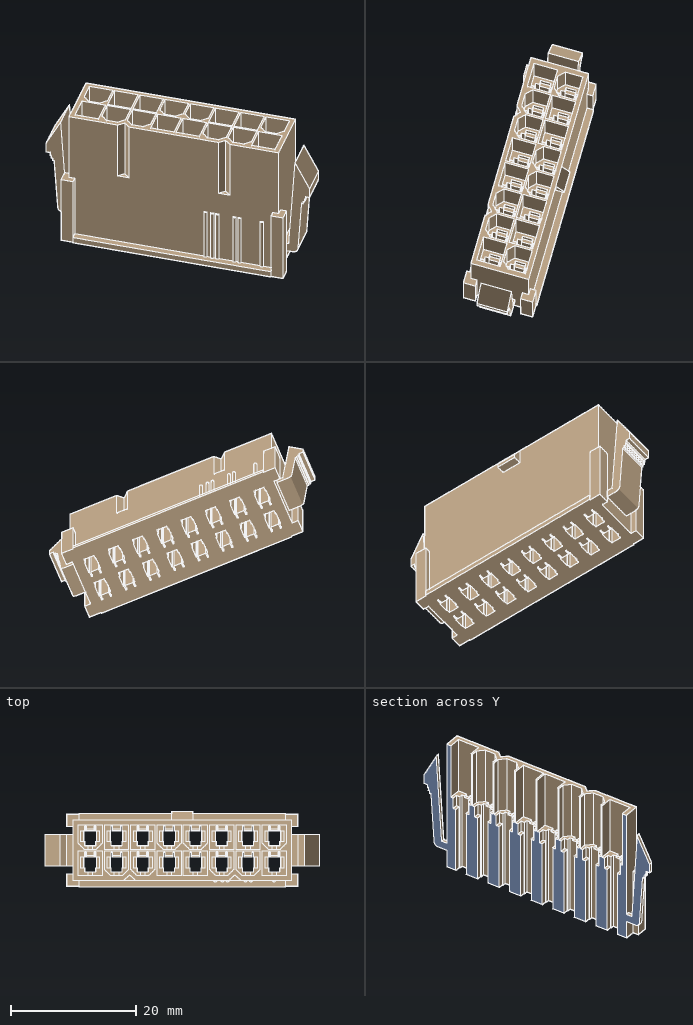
import cadquery as cq

PITCH = 4.2
COLUMNS = 8
ROWS = 2
CELL_SIZE = 3.9
KEY_CHAMFER = 1.0
CAVITY_DEPTH = 10.0
KEYED_COLUMNS = ((1, 2, 5, 6), (0, 3, 4, 7))

OPENING_WIDTH = 1.98
OPENING_BACK = 0.99
OPENING_FRONT = -0.73
NARROW_WIDTH = 1.72
NARROW_FRONT = -1.35
LATCH_SLOT_BACK = 1.75
SHOULDER_WIDTH = 3.04
SHOULDER_DEPTH = 2.0
TONGUE_WIDTH = 1.32
TONGUE_LIP_BACK = 1.26
TONGUE_LIP_DROP = 0.5
NOTCH_WIDTH = 0.73
NOTCH_DEPTH = 0.3
NOTCH_RAMP_DROP = 0.07

HEIGHT = 23.9
END_WALL = 0.8
SIDE_WALL = 0.75
BODY_WIDTH = (COLUMNS - 1) * PITCH + CELL_SIZE + 2 * END_WALL
BODY_DEPTH = (ROWS - 1) * PITCH + CELL_SIZE + 2 * SIDE_WALL
POST_HEIGHT = 11.95
POST_ARM = 2.0
POST_SPAN_X = 36.95
POST_SPAN_Y = 11.53
FLANGE_DEPTH = 11.8
FLANGE_HEIGHT = 1.05

RAMP_WIDTH = 3.36
RAMP_REACH = 1.4
RAMP_BOTTOM = 20.9
RAMP_NOSE_TOP = 21.65

GROOVE_HALF_WIDTH = 0.94
GROOVE_DEPTH = 0.85
GROOVE_POSITIONS = (-2 * PITCH, 2 * PITCH)
RIB_RADIUS = 0.26
RIB_TOP = 9.8
RIB_POSITIONS = (5.27, 6.4, 7.25, 10.1, 10.95, 14.65)

LATCH_SPAN = 43.9
LATCH_WIDTH = 5.05
LATCH_FOOT_BOTTOM = 3.17
LATCH_FOOT_TOP = 4.65
LATCH_FOOT_RADIUS = 0.85
LATCH_EMBED = 0.2

FRONT = -BODY_DEPTH / 2
BACK = BODY_DEPTH / 2
FLOOR = HEIGHT - CAVITY_DEPTH


def block(x_range, y_range, z_range):
    """Box given by its limits along each axis."""
    sizes = [high - low for low, high in (x_range, y_range, z_range)]
    corner = (x_range[0], y_range[0], z_range[0])
    return cq.Workplane("XY").box(*sizes, centered=False).translate(corner)


def centered_block(width, y_range, z_range):
    """Box centred on X = 0."""
    return block((-width / 2, width / 2), y_range, z_range)


def make_shell():
    """Plain body with L-shaped corner posts and a bottom flange."""
    shell = centered_block(BODY_WIDTH, (FRONT, BACK), (0, HEIGHT))
    half_x = POST_SPAN_X / 2
    half_y = POST_SPAN_Y / 2
    for side in (-1, 1):
        for end in (-1, 1):
            x_range = sorted((end * half_x, end * (half_x - POST_ARM)))
            y_range = sorted((side * half_y, side * (half_y - POST_ARM)))
            shell = shell.union(block(x_range, y_range, (0, POST_HEIGHT)))
    flange_width = POST_SPAN_X - 2 * POST_ARM
    flange_y = (-FLANGE_DEPTH / 2, FLANGE_DEPTH / 2)
    return shell.union(centered_block(flange_width, flange_y, (0, FLANGE_HEIGHT)))


def make_lock_ramp():
    """Wedge on the back wall that slopes out and down to a blunt nose."""
    nose = BACK + RAMP_REACH
    return (
        cq.Workplane("YZ")
        .moveTo(BACK - SIDE_WALL, RAMP_BOTTOM)
        .lineTo(nose, RAMP_BOTTOM)
        .lineTo(nose, RAMP_NOSE_TOP)
        .lineTo(BACK, HEIGHT)
        .lineTo(BACK - SIDE_WALL, HEIGHT)
        .close()
        .extrude(RAMP_WIDTH / 2, both=True)
    )


def make_latch():
    """Left spring latch: a leaning arm with a stepped barb, joined to the body by its foot."""
    tip = (-19.5, 20.8)
    barb_top = 16.15
    barb_bottom = 14.45
    barb_steps = ((-21.25, 13.9), (-21.1, 13.4), (-20.85, 12.98))
    arm_outer_top_x = -20.6
    arm_outer_bottom_x = -19.95
    arm_inner_bottom_x = -18.45
    root_x = -BODY_WIDTH / 2 + LATCH_EMBED

    profile = cq.Workplane("XZ").moveTo(*tip).lineTo(-LATCH_SPAN / 2, barb_top)
    z = barb_bottom
    profile = profile.lineTo(-LATCH_SPAN / 2, z)
    for x, lower_z in barb_steps:
        profile = profile.lineTo(x, z).lineTo(x, lower_z)
        z = lower_z
    profile = (
        profile.lineTo(arm_outer_top_x, z)
        .lineTo(arm_outer_bottom_x, LATCH_FOOT_BOTTOM)
        .lineTo(root_x, LATCH_FOOT_BOTTOM)
        .lineTo(root_x, LATCH_FOOT_TOP)
        .lineTo(arm_inner_bottom_x, LATCH_FOOT_TOP)
        .close()
    )
    latch = profile.extrude(LATCH_WIDTH / 2, both=True)
    foot_corner = cq.selectors.NearestToPointSelector((arm_outer_bottom_x, 0, LATCH_FOOT_BOTTOM))
    return latch.edges(foot_corner).fillet(LATCH_FOOT_RADIUS)


def make_groove(x):
    """V groove cut into the front wall from the top down to the cavity floor level."""
    return (
        cq.Workplane("XY", origin=(x, FRONT, FLOOR))
        .moveTo(-GROOVE_HALF_WIDTH, 0)
        .lineTo(0, GROOVE_DEPTH)
        .lineTo(GROOVE_HALF_WIDTH, 0)
        .close()
        .extrude(CAVITY_DEPTH)
    )


def make_rib(x):
    """Half-round marking rib standing on the bottom flange."""
    return cq.Workplane("XY", origin=(x, FRONT, 0)).circle(RIB_RADIUS).extrude(RIB_TOP)


def make_cell(keyed):
    """Space removed for one terminal, centred on X = Y = 0."""
    half = CELL_SIZE / 2
    cavity = centered_block(CELL_SIZE, (-half, half), (FLOOR, HEIGHT))
    if keyed:
        cavity = cavity.edges("|Z and <Y").chamfer(KEY_CHAMFER)

    main = centered_block(OPENING_WIDTH, (OPENING_FRONT, OPENING_BACK), (0, FLOOR))
    narrow = centered_block(NARROW_WIDTH, (NARROW_FRONT, LATCH_SLOT_BACK), (0, FLOOR))
    tongue = centered_block(TONGUE_WIDTH, (OPENING_BACK, LATCH_SLOT_BACK), (0, FLOOR))
    lip_gap = centered_block(
        TONGUE_WIDTH, (OPENING_BACK, TONGUE_LIP_BACK), (FLOOR - TONGUE_LIP_DROP, FLOOR)
    )
    shoulders = centered_block(
        SHOULDER_WIDTH, (OPENING_FRONT, OPENING_BACK), (FLOOR - SHOULDER_DEPTH, FLOOR)
    )
    notch = (
        cq.Workplane("YZ")
        .moveTo(-half, FLOOR)
        .lineTo(-half, FLOOR - NOTCH_DEPTH - NOTCH_RAMP_DROP)
        .lineTo(NARROW_FRONT, FLOOR - NOTCH_DEPTH)
        .lineTo(NARROW_FRONT, FLOOR)
        .close()
        .extrude(NOTCH_WIDTH / 2, both=True)
    )
    opening = main.union(narrow.cut(tongue)).union(lip_gap).union(shoulders).union(notch)
    return cavity.union(opening)


def cut_cells(housing):
    """Remove every terminal cell, keyed cells having two chamfered front corners."""
    plain_cell = make_cell(keyed=False)
    keyed_cell = make_cell(keyed=True)
    for row in range(ROWS):
        for column in range(COLUMNS):
            cell = keyed_cell if column in KEYED_COLUMNS[row] else plain_cell
            x = (column - (COLUMNS - 1) / 2) * PITCH
            y = (row - (ROWS - 1) / 2) * PITCH
            housing = housing.cut(cell.translate((x, y, 0)))
    return housing


housing = make_shell().union(make_lock_ramp())
left_latch = make_latch()
housing = housing.union(left_latch).union(left_latch.mirror("YZ"))
for rib_x in RIB_POSITIONS:
    housing = housing.union(make_rib(rib_x))
for groove_x in GROOVE_POSITIONS:
    housing = housing.cut(make_groove(groove_x))

result = cut_cells(housing)